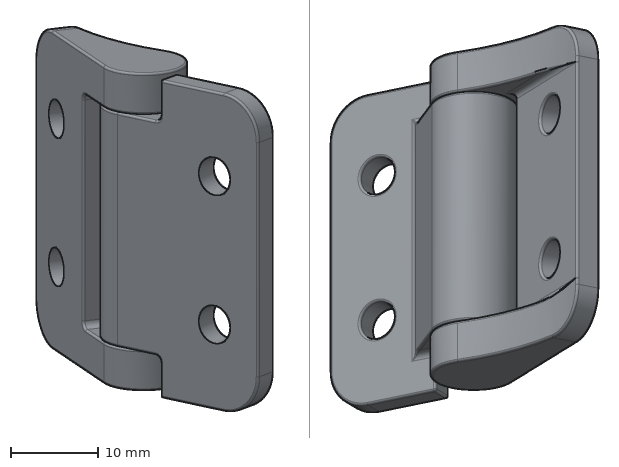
import cadquery as cq
import math

knuckle_radius = 5.0
leaf_length = 20.3
leaf_height = 38.0
plate_thickness = 3.02
corner_radius = 5.0
tongue_height = 28.03
notch_reach = 6.25
inner_radius = 0.8
edge_radius = 0.3
web_angle = 45.0
opening_angle = 30.0

hole_diameter = 4.5
hole_reach = 14.0
hole_spacing = 17.7

plate_front = -knuckle_radius
plate_back = plate_front + plate_thickness
free_edge = -leaf_length
notch_wall = -notch_reach
knuckle_split = tongue_height / 2

web_slope = math.radians(web_angle)
web_top = (-knuckle_radius * math.sin(web_slope), knuckle_radius * math.cos(web_slope))
web_foot = (plate_back * math.cos(web_slope) - knuckle_radius) / math.sin(web_slope)

back_drop = -plate_back
hollow_radius = (leaf_length**2 + back_drop**2 - knuckle_radius**2) / (2 * (knuckle_radius + back_drop))
hollow_centre_y = plate_back + hollow_radius
hollow_angle = math.atan2(leaf_length, hollow_centre_y)
hollow_top = (-knuckle_radius * math.sin(hollow_angle), knuckle_radius * math.cos(hollow_angle))
hollow_middle = (
    free_edge + hollow_radius * math.sin(hollow_angle / 2),
    hollow_centre_y - hollow_radius * math.cos(hollow_angle / 2),
)


def start_profile():
    """Flat front and free edge, which both leaf profiles share."""
    return (
        cq.Workplane("XY")
        .moveTo(0, plate_front)
        .lineTo(free_edge, plate_front)
        .lineTo(free_edge, plate_back)
    )


def make_blank(open_profile):
    """Close a profile around the knuckle, extrude it and round the outer corners."""
    return (
        open_profile
        .threePointArc((knuckle_radius, 0), (0, plate_front))
        .close()
        .extrude(leaf_height / 2, both=True)
        .edges("|Y and <X")
        .fillet(corner_radius)
    )


def make_clearance(z_low, z_high):
    """Space for the other leaf: a through notch, and a flat plate back beside it."""
    span = 2 * leaf_length
    height = z_high - z_low
    notch = (
        cq.Workplane("XY", origin=(notch_wall, 0, z_low))
        .box(span, span, height, centered=(False, True, False))
        .edges("|Y and <X")
        .fillet(inner_radius)
    )
    back_clearance = (
        cq.Workplane("XY", origin=(0, plate_back, z_low))
        .box(2 * span, span, height, centered=(True, False, False))
        .edges("|X and <Y")
        .fillet(inner_radius)
    )
    return notch.union(back_clearance)


def round_edges(leaf, points, radius=edge_radius):
    """At each point, round the nearest edge and the edges that run on smoothly from it."""
    for point in points:
        leaf = leaf.edges(cq.selectors.NearestToPointSelector(point)).fillet(radius)
    return leaf


def drill_holes(leaf):
    """Screw holes through the plate, with their back edges rounded."""
    for hole_z in (-hole_spacing / 2, hole_spacing / 2):
        drill = (
            cq.Workplane("XZ", origin=(-hole_reach, 0, hole_z))
            .circle(hole_diameter / 2)
            .extrude(2 * knuckle_radius, both=True)
        )
        leaf = round_edges(leaf.cut(drill), [(-hole_reach, plate_back, hole_z)])
    return leaf


def make_fork_leaf():
    """Leaf with a knuckle at each end and a notch between them."""
    leaf = make_blank(start_profile().threePointArc(hollow_middle, hollow_top))
    leaf = leaf.cut(make_clearance(-knuckle_split, knuckle_split))
    notch_front = (notch_wall, plate_front, 0)
    notch_back = (notch_wall, plate_back, 0)
    outer_rim = (free_edge, plate_front, 0)
    leaf = round_edges(leaf, [notch_front, notch_back, outer_rim])
    return drill_holes(leaf)


def make_tongue_leaf():
    """Leaf with one middle knuckle, swung open about the pivot."""
    leaf = make_blank(start_profile().lineTo(web_foot, plate_back).lineTo(*web_top))
    leaf = round_edges(leaf, [(web_foot, plate_back, 0)], inner_radius)
    leaf = leaf.cut(make_clearance(knuckle_split, leaf_height))
    leaf = leaf.cut(make_clearance(-leaf_height, -knuckle_split))
    front_rim = (free_edge, plate_front, 0)
    knuckle_rims = [(knuckle_radius, 0, z) for z in (knuckle_split, -knuckle_split)]
    back_rim = (free_edge, plate_back, 0)
    leaf = round_edges(leaf, [front_rim, *knuckle_rims, back_rim])
    return drill_holes(leaf).mirror("YZ").rotate((0, 0, 0), (0, 0, 1), opening_angle)


fork_leaf = make_fork_leaf()
tongue_leaf = make_tongue_leaf()

result = cq.Compound.makeCompound([fork_leaf.solids().val(), tongue_leaf.solids().val()])